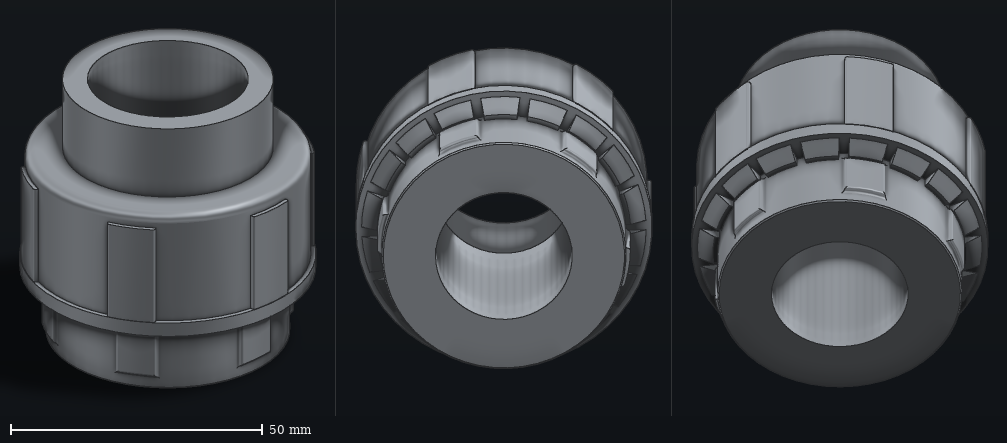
import cadquery as cq

total_height = 57.0
nut_top = 41.6
grip_pad_top = 38.6
flange_top = 17.65
flange_bottom = 14.65
teeth_bottom = 12.7

flange_diameter = 59.0
nut_diameter = 57.0
pipe_diameter = 42.0
base_diameter = 48.6
socket_diameter = 32.0
bore_diameter = 27.2

socket_depth = 22.0
nut_edge_radius = 2.0
base_edge_chamfer = 0.3

pad_count = 6
pad_inner_reach = 23.6

grip_pad_diameter = 58.75
grip_pad_width = 9.85
grip_pad_edge_radius = 0.55

base_pad_diameter = 50.4
base_pad_back_width = 8.9
base_pad_back_height = 10.3
base_pad_center_height = 7.7
base_pad_draft = 20.0
base_pad_blend_radius = 0.6

tooth_count = 18
teeth_top_diameter = 56.65
teeth_bottom_diameter = 50.5
tooth_gap = 2.0


def cylinder(diameter, bottom, top):
    return cq.Workplane("XY").workplane(offset=bottom).circle(diameter / 2).extrude(top - bottom)


def around_axis(shape, count, start_angle=0.0):
    """Union of copies of a shape, spread evenly about Z."""
    ring = cq.Workplane("XY")
    for index in range(count):
        angle = start_angle + index * 360 / count
        ring = ring.add(shape.rotate((0, 0, 0), (0, 0, 1), angle))
    return ring.combine()


def turned_body():
    base = cylinder(base_diameter, 0, flange_bottom).faces("<Z").chamfer(base_edge_chamfer)
    flange = cylinder(flange_diameter, flange_bottom, flange_top)
    nut = cylinder(nut_diameter, flange_top, nut_top).faces(">Z").edges().fillet(nut_edge_radius)
    pipe = cylinder(pipe_diameter, nut_top, total_height)
    return base.union(flange).union(nut).union(pipe)


def grip_pads():
    """Pads standing on the flange along the nut, with a round outer face and soft upright edges."""
    height = grip_pad_top - flange_top
    blank = (
        cq.Workplane("XZ", origin=(0, -pad_inner_reach, flange_top + height / 2))
        .rect(grip_pad_width, height)
        .extrude(flange_diameter / 2 - pad_inner_reach)
    )
    pad = blank.intersect(cylinder(grip_pad_diameter, flange_top, grip_pad_top))
    pad = pad.edges("|Z").edges("<Y").fillet(grip_pad_edge_radius)
    return around_axis(pad, pad_count)


def base_pads():
    """Drafted pads on the base, blended along the rim of the face and into the base wall."""
    blank = (
        cq.Workplane("XZ", origin=(0, -pad_inner_reach, base_pad_center_height))
        .rect(base_pad_back_width, base_pad_back_height)
        .extrude(flange_diameter / 2 - pad_inner_reach, taper=base_pad_draft)
    )
    pad = blank.intersect(cylinder(base_pad_diameter, 0, flange_bottom))
    wall = cylinder(base_diameter, base_edge_chamfer, flange_bottom)
    shortest_rim_edge = base_pad_back_width / 2
    blended_edges = cq.selectors.BoxSelector(
        (-base_pad_back_width / 2, -flange_diameter / 2, base_pad_center_height - base_pad_back_height / 2),
        (base_pad_back_width / 2, -pad_inner_reach, base_pad_center_height + base_pad_back_height / 2),
    )
    pad = (
        wall.union(pad)
        .edges(blended_edges)
        .filter(lambda edge: edge.Length() > shortest_rim_edge)
        .fillet(base_pad_blend_radius)
    )
    return around_axis(pad, pad_count)


def tooth_ring():
    """Cone under the flange, cut into teeth by radial gaps; each base pad sits below a tooth."""
    ring = (
        cq.Workplane("XY")
        .workplane(offset=teeth_bottom)
        .circle(teeth_bottom_diameter / 2)
        .workplane(offset=flange_bottom - teeth_bottom)
        .circle(teeth_top_diameter / 2)
        .loft(ruled=True)
    )
    gap = (
        cq.Workplane("XY")
        .workplane(offset=teeth_bottom)
        .center(0, -flange_diameter / 4)
        .rect(tooth_gap, flange_diameter / 2)
        .extrude(flange_bottom - teeth_bottom)
    )
    return ring.cut(around_axis(gap, tooth_count, 180 / tooth_count))


def bore():
    through = cylinder(bore_diameter, 0, total_height)
    socket = cylinder(socket_diameter, total_height - socket_depth, total_height)
    return through.union(socket)


result = turned_body().union(tooth_ring()).union(grip_pads()).union(base_pads()).cut(bore())